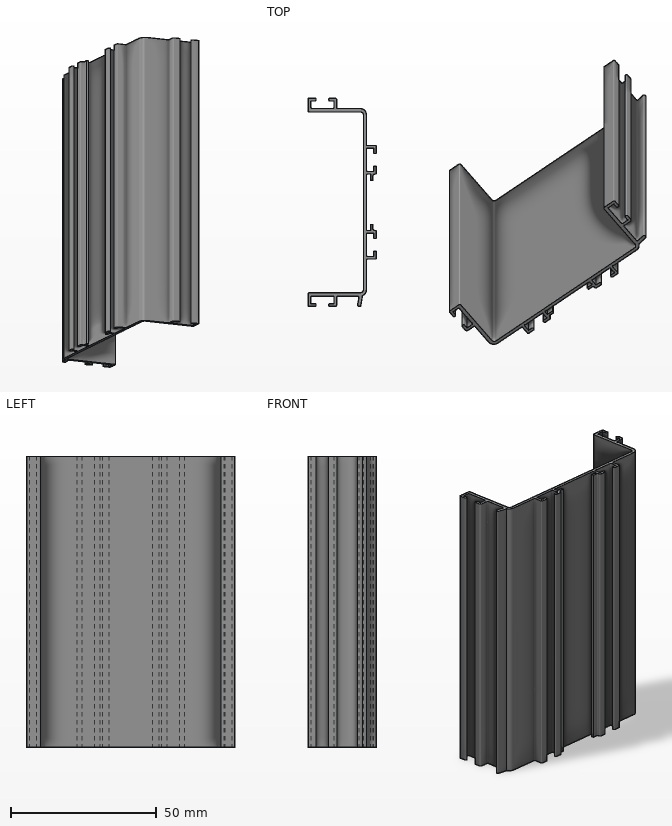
import cadquery as cq
length = 100.0
width = 71.6
depth = 23.5

web_thickness = 1.1
flange_thickness = 1.3
inner_corner_radius = 1.0
outer_corner_radius = 2.3
flange_end_radius = 0.5

slot_width = 9.9
slot_wall = 1.0
lip_length = 2.8
lip_edge_radius = 0.4
flange_slot_height = 3.5
web_slot_height = 3.4
hook_corner_radius = 0.4
stem_corner_radius = 0.7
wall_root_radius = 0.2
wall_overlap = 0.5

web_slot_center = 14.6
rib_thickness = 0.8
rib_length = 2.1
rib_offset = 1.4
rib_root_radius = 0.6

leg_root_x = 17.5
leg_thickness = 1.2
leg_lean = 0.6
leg_tip_inner_radius = 0.6
leg_tip_outer_radius = 0.3
leg_root_radius = 0.4

half_width = width / 2
flange_outer_y = half_width - flange_slot_height
web_outer_x = depth - web_slot_height
web_inner_x = web_outer_x - web_thickness


def box(x_min, x_max, y_min, y_max):
    """Full-length bar with the given rectangular section."""
    return (
        cq.Workplane("XY")
        .rect(x_max - x_min, y_max - y_min)
        .extrude(length)
        .translate(((x_min + x_max) / 2, (y_min + y_max) / 2, 0))
    )


def round_edge(body, x, y, radius):
    """Round the lengthwise edge that passes through (x, y)."""
    tolerance = 0.01
    corner = cq.selectors.BoxSelector(
        (x - tolerance, y - tolerance, 0),
        (x + tolerance, y + tolerance, length),
    )
    return body.edges("|Z").edges(corner).fillet(radius)


def channel():
    """U-shaped channel open toward -X, with rounded corners."""
    inner_y = flange_outer_y - flange_thickness
    body = box(0, web_outer_x, -flange_outer_y, flange_outer_y)
    body = body.cut(box(0, web_inner_x, -inner_y, inner_y))
    for side in (-1, 1):
        body = round_edge(body, web_outer_x, side * flange_outer_y, outer_corner_radius)
        body = round_edge(body, web_inner_x, side * inner_y, inner_corner_radius)
        body = round_edge(body, 0, side * inner_y, flange_end_radius)
    return body


def slot_walls(height, far_corner_radius):
    """Pair of hooked walls standing on the line y = 0, from x = 0 to slot_width,
    reaching slightly below that line."""
    walls = box(0, slot_width, -wall_overlap, height)
    walls = walls.cut(box(slot_wall, slot_width - slot_wall, -wall_overlap, height - slot_wall))
    walls = walls.cut(box(lip_length, slot_width - lip_length, -wall_overlap, height))
    walls = round_edge(walls, 0, height, hook_corner_radius)
    walls = round_edge(walls, slot_width, height, far_corner_radius)
    for lip_x in (lip_length, slot_width - lip_length):
        for lip_y in (height, height - slot_wall):
            walls = round_edge(walls, lip_x, lip_y, lip_edge_radius)
    return walls


def flange_slot():
    """Slot walls on the upper flange, flush with its free end."""
    return slot_walls(flange_slot_height, stem_corner_radius).translate((0, flange_outer_y, 0))


def web_slot():
    """Slot walls on the +Y half of the web, with the rib on the inner wall."""
    walls = (
        slot_walls(web_slot_height, hook_corner_radius)
        .rotate((0, 0, 0), (0, 0, 1), -90)
        .translate((web_outer_x, web_slot_center + slot_width / 2, 0))
    )
    wall_y = web_slot_center - slot_width / 2
    rib_x = web_outer_x + rib_offset
    rib_end_x = rib_x + rib_thickness
    walls = walls.union(box(rib_x, rib_end_x, wall_y - rib_length, wall_y + slot_wall / 2))
    return round_edge(walls, rib_end_x, wall_y, rib_root_radius)


def leg():
    """Leg on the lower flange that leans toward -X."""
    root_y = -flange_outer_y
    tip_x = leg_root_x - leg_lean
    body = (
        cq.Workplane("XY")
        .moveTo(leg_root_x, root_y + flange_thickness / 2)
        .lineTo(leg_root_x, root_y)
        .lineTo(tip_x, -half_width)
        .lineTo(tip_x + leg_thickness, -half_width)
        .lineTo(leg_root_x + leg_thickness, root_y)
        .lineTo(leg_root_x + leg_thickness, root_y + flange_thickness / 2)
        .close()
        .extrude(length)
    )
    body = round_edge(body, tip_x, -half_width, leg_tip_inner_radius)
    return round_edge(body, tip_x + leg_thickness, -half_width, leg_tip_outer_radius)


profile = channel()
for upper_slot in (flange_slot(), web_slot()):
    profile = profile.union(upper_slot).union(upper_slot.mirror("XZ"))

profile = profile.union(leg())
profile = round_edge(profile, leg_root_x, -flange_outer_y, leg_root_radius)

wall_faces = (0, slot_wall, slot_width - slot_wall, slot_width)
for side in (-1, 1):
    for face in wall_faces[1:]:
        profile = round_edge(profile, face, side * flange_outer_y, wall_root_radius)
    for face in wall_faces:
        face_y = web_slot_center + slot_width / 2 - face
        profile = round_edge(profile, web_outer_x, side * face_y, wall_root_radius)

result = profile